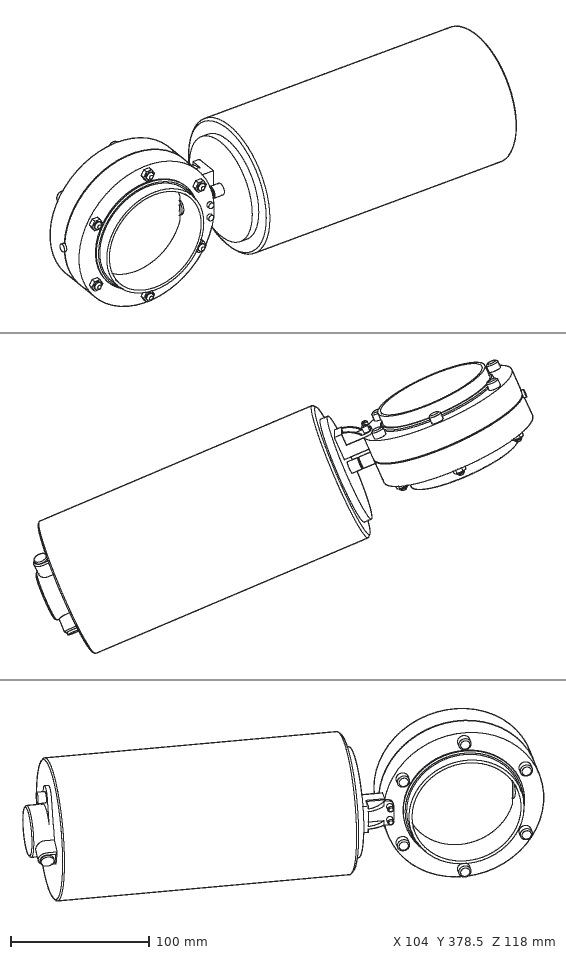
import cadquery as cq
import math


FLANGE_R = 59.0
HOUSING_W = 37.5
FLANGE_X = HOUSING_W / 2
SEAM = 0.8
BORE_R = 40.0
TUBE_R = 42.5
TUBE_X = 30.0
COLLAR_R = 44.5
COLLAR_H = 2.3
COLLAR_CHAMFER = 1.0
BOSS_R = 7.5
BOSS_Y = 38.5

BOLT_COUNT = 6
BOLT_CIRCLE_R = 52.3
HEAD_R = 4.5
HEAD_H = 6.0
HEAD_CHAMFER = 1.0
NUT_ACROSS = 9.5
NUT_H = 3.5
STUD_R = 3.0
STUD_H = 6.0
STUD_CHAMFER = 1.5

DISC_T = 9.0
STEM_R = 4.5
PIN_R = 3.0
PIN_END_Y = -61.0
COUPLING_Y = 69.0
COUPLING_CHAMFER = 0.55

BODY_DIAMETER = 104.0
BODY_R = BODY_DIAMETER / 2
NOSE_Y = 77.5
NOSE_R = 40.5
BODY_Y = 83.3
BODY_END_Y = 301.5
BODY_CHAMFER = 2.0
REAR_CHAMFER = 1.0
HUB_R = 19.0
HUB_END_Y = 317.5
LUG_H = 3.0
LUG_TAPER = 21
LUG_ROOT_Z = 11.5
LUG_TIP_R = 8.5
LUG_TIP_Z = 27.0
BUTTON_R = 4.0
BUTTON_END_Y = 310.5
ARM_DROP = 20
ARM_R = 6.5
ARM_Y = 308.5
ARM_RISE = 1.5
ARM_LENGTH = 30.5
ARM_CHAMFER = 1.0
PORT_R = 5.0
PORT_H = 1.7

BRACKET_W = 21.5
PLATE_W = 19.7
PLATE_X = 21.0
BLOCK_X = 9.5
TAB_END_Y = 52.0
TAB_CORNER = 4.0
FOOT_X = 27.5
FOOT_T = 5.5
RIB_END_Y = 59.0
RIB_INNER = 6.0
RIB_CREST = 8.5
RIB_BULGE = 0.95
TAB_SCREW_Y = 55.0
TAB_SCREW_Z = 5.3
TAB_SCREW_R = 2.3
TAB_SCREW_X = 26.0
TAB_SCREW_CHAMFER = 0.8
TAB_SCREW_FAR_X = 21.2


def rod_x(x0, x1, radius, y=0, z=0):
    """Cylinder along X between x0 and x1."""
    return cq.Workplane("YZ", origin=(x0, 0, 0)).center(y, z).circle(radius).extrude(x1 - x0)


def rod_y(y0, y1, radius, z=0):
    """Cylinder along Y between y0 and y1."""
    return cq.Workplane("XZ", origin=(0, y0, z)).circle(radius).extrude(y0 - y1)


def hex_x(x0, x1, across, y, z):
    """Hexagonal prism along X between x0 and x1."""
    return cq.Workplane("YZ", origin=(x0, 0, 0)).center(y, z).polygon(6, across).extrude(x1 - x0)


def bolt_places():
    """(y, z) centres of the flange bolts."""
    for i in range(BOLT_COUNT):
        angle = math.radians(90 + i * 360 / BOLT_COUNT)
        yield BOLT_CIRCLE_R * math.cos(angle), BOLT_CIRCLE_R * math.sin(angle)


def stem_openings():
    """Holes through the housing for the stem (+Y) and the pin (-Y)."""
    stem_hole = rod_y(0, FLANGE_R, STEM_R)
    pin_hole = rod_y(-FLANGE_R, 0, PIN_R)
    return stem_hole.union(pin_hole)


def bore_bosses():
    """Flat-ended bosses that reach into the bore around the stem and the pin."""
    post = rod_y(-FLANGE_R, FLANGE_R, BOSS_R)
    inside = rod_y(-BOSS_Y, BOSS_Y, 2 * BOSS_R)
    return post.cut(inside).intersect(rod_x(SEAM / 2, FLANGE_X, TUBE_R))


def plain_half():
    """Flange half with its pipe stub on the +X side."""
    flange = rod_x(SEAM / 2, FLANGE_X, FLANGE_R)
    collar = rod_x(FLANGE_X, FLANGE_X + COLLAR_H, COLLAR_R).faces(">X").chamfer(COLLAR_CHAMFER)
    tube = rod_x(SEAM / 2, TUBE_X, TUBE_R)
    bore = rod_x(0, TUBE_X, BORE_R)
    half = flange.union(collar).union(tube).cut(bore)
    return half.union(bore_bosses()).cut(stem_openings())


def head_half():
    """-X half with the round heads of the flange bolts."""
    half = plain_half().mirror("YZ")
    head_x = -FLANGE_X - HEAD_H
    for y, z in bolt_places():
        head = rod_x(head_x, -FLANGE_X, HEAD_R, y, z).faces("<X").chamfer(HEAD_CHAMFER)
        half = half.union(head)
    return half


def nut_half():
    """+X half with the nuts, the bolt ends and the ends of the bracket screws."""
    half = plain_half()
    for y, z in bolt_places():
        nut = hex_x(FLANGE_X, FLANGE_X + NUT_H, NUT_ACROSS, y, z)
        stud = rod_x(FLANGE_X, FLANGE_X + STUD_H, STUD_R, y, z).faces(">X").chamfer(STUD_CHAMFER)
        half = half.union(nut).union(stud)
    for z in (-TAB_SCREW_Z, TAB_SCREW_Z):
        half = half.union(rod_x(FLANGE_X, TAB_SCREW_FAR_X, TAB_SCREW_R, TAB_SCREW_Y, z))
    return half


def disc_and_stem():
    """Closed disc with its drive stem and the opposite pin."""
    disc = rod_x(-DISC_T / 2, DISC_T / 2, BORE_R)
    disc = disc.intersect(cq.Workplane("XY").box(2 * DISC_T, 2 * BOSS_Y, 4 * BORE_R))
    stem = rod_y(BOSS_Y, COUPLING_Y, STEM_R).faces(">Y").chamfer(COUPLING_CHAMFER)
    root = rod_y(0, BOSS_Y, STEM_R)
    pin = rod_y(PIN_END_Y, 0, PIN_R)
    return disc.union(root).union(stem).union(pin)


def air_port(side):
    """Round-backed arm on the hub; side is -1 or +1 for the X direction."""
    back = rod_x(0, ARM_LENGTH, ARM_R, ARM_Y)
    depth = ARM_Y - BODY_END_Y
    base = cq.Workplane("XY").box(ARM_LENGTH, depth, 2 * ARM_R, centered=(False, False, True))
    port = rod_x(ARM_LENGTH, ARM_LENGTH + PORT_H, PORT_R, ARM_Y)
    arm = back.union(base.translate((0, BODY_END_Y, 0))).faces(">X").chamfer(ARM_CHAMFER)
    arm = arm.union(port).rotate((0, 0, 0), (0, 1, 0), ARM_DROP).translate((0, 0, ARM_RISE))
    return arm if side > 0 else arm.mirror("YZ")


def lug():
    """Tapered lug beside the hub, with a round tip that carries a button."""
    taper = math.radians(LUG_TAPER)
    tip_x = LUG_TIP_R * math.cos(taper)
    tip_z = LUG_TIP_Z + LUG_TIP_R * math.sin(taper)
    root_x = tip_x + (tip_z - LUG_ROOT_Z) * math.tan(taper)
    plate = (
        cq.Workplane("XZ", origin=(0, BODY_END_Y, 0))
        .moveTo(0, 0)
        .lineTo(root_x, LUG_ROOT_Z)
        .lineTo(tip_x, tip_z)
        .threePointArc((0, LUG_TIP_Z + LUG_TIP_R), (-tip_x, tip_z))
        .lineTo(-root_x, LUG_ROOT_Z)
        .close()
        .extrude(-LUG_H)
    )
    return plate.union(rod_y(BODY_END_Y, BUTTON_END_Y, BUTTON_R, z=LUG_TIP_Z))


def actuator():
    """Cylindrical body with its shaft, front nose, rear hub, lug and air ports."""
    shaft = rod_y(COUPLING_Y, NOSE_Y, STEM_R).faces("<Y").chamfer(COUPLING_CHAMFER)
    nose = rod_y(NOSE_Y, BODY_Y, NOSE_R)
    body = rod_y(BODY_Y, BODY_END_Y, BODY_R).faces("<Y").chamfer(BODY_CHAMFER)
    body = body.faces(">Y").chamfer(REAR_CHAMFER)
    hub = rod_y(BODY_END_Y, HUB_END_Y, HUB_R).faces(">Y").chamfer(REAR_CHAMFER)
    solid = body.union(nose).union(shaft).union(hub).union(lug())
    for side in (-1, 1):
        solid = solid.union(air_port(side))
    return solid


def bracket_rib():
    """Upper rib: a curved edge from the foot to the plate, with a sloping outer side."""
    foot_end = NOSE_Y - FOOT_T
    mid_x = (FOOT_X + PLATE_X) / 2 + RIB_BULGE
    mid_y = (foot_end + RIB_END_Y) / 2 - RIB_BULGE
    side = (
        cq.Workplane("XY")
        .moveTo(-PLATE_X, NOSE_Y)
        .lineTo(-FOOT_X, NOSE_Y)
        .lineTo(-FOOT_X, foot_end)
        .threePointArc((-mid_x, mid_y), (-PLATE_X, RIB_END_Y))
        .close()
        .extrude(BRACKET_W / 2)
    )
    section = (
        cq.Workplane("XZ", origin=(0, NOSE_Y, 0))
        .polyline([
            (-PLATE_X, RIB_INNER),
            (-FOOT_X, RIB_INNER),
            (-FOOT_X, RIB_CREST),
            (-PLATE_X, PLATE_W / 2),
        ])
        .close()
        .extrude(NOSE_Y - RIB_END_Y)
    )
    return side.intersect(section)


def bracket():
    """Mount between the actuator and the flange, with its two screw heads."""
    plate = (
        cq.Workplane("XY")
        .box(PLATE_X - FLANGE_X, NOSE_Y - TAB_END_Y, PLATE_W, centered=(False, False, True))
        .edges("|X and <Y")
        .fillet(TAB_CORNER)
        .translate((-PLATE_X, TAB_END_Y, 0))
    )
    block = (
        cq.Workplane("XY")
        .box(FLANGE_X - BLOCK_X, NOSE_Y - TAB_END_Y, BRACKET_W, centered=(False, False, True))
        .translate((-FLANGE_X, TAB_END_Y, 0))
        .cut(rod_x(-FLANGE_X, 0, FLANGE_R))
    )
    foot = (
        cq.Workplane("XY")
        .box(FOOT_X - FLANGE_X, FOOT_T, BRACKET_W, centered=(False, False, True))
        .translate((-FOOT_X, NOSE_Y - FOOT_T, 0))
    )
    rib = bracket_rib()
    solid = plate.union(block).union(foot).union(rib).union(rib.mirror("XY"))
    for z in (-TAB_SCREW_Z, TAB_SCREW_Z):
        screw = rod_x(-TAB_SCREW_X, -FLANGE_X, TAB_SCREW_R, TAB_SCREW_Y, z)
        solid = solid.union(screw.faces("<X").chamfer(TAB_SCREW_CHAMFER))
    return solid


result = cq.Compound.makeCompound([
    head_half().val(),
    nut_half().val(),
    disc_and_stem().val(),
    actuator().val(),
    bracket().val(),
])